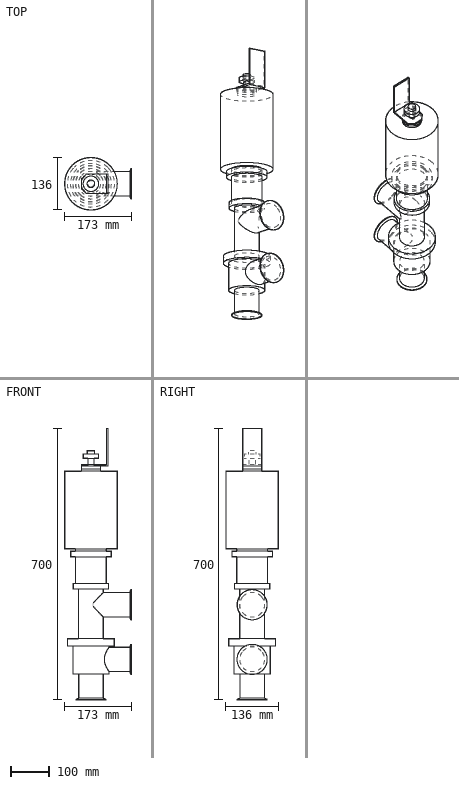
import cadquery as cq

BODY_BOTTOM_Z = 67.0
FLANGE_BOTTOM_Z = 139.0
FLANGE_TOP_Z = 158.0
LOWER_CLAMP_BOTTOM_Z = 286.5
LOWER_CLAMP_TOP_Z = 301.0
UPPER_CLAMP_BOTTOM_Z = 369.0
UPPER_CLAMP_TOP_Z = 384.0
ACTUATOR_BOTTOM_Z = 390.0
ACTUATOR_TOP_Z = 590.0
BOSS_TOP_Z = 596.0
FOOT_TOP_Z = 603.0
TOP_Z = 700.0

PORT_DIAMETER = 64.0
BODY_DIAMETER = 94.0
FLANGE_DIAMETER = 121.0
TUBE_DIAMETER = 64.5
LOWER_CLAMP_DIAMETER = 92.0
NECK_DIAMETER = 80.0
UPPER_CLAMP_DIAMETER = 105.0
ACTUATOR_DIAMETER = 136.0
BOSS_DIAMETER = 50.0

FERRULE_DIAMETER = 78.0
FERRULE_RIM = 2.0
FERRULE_TAPER = 3.0
SIDE_PORT_REACH = 105.0
SIDE_PORT_HEIGHTS = (105.0, 246.0)

BRACKET_WIDTH = BOSS_DIAMETER
BRACKET_THICKNESS = 4.0
BRACKET_LEFT_X = -BRACKET_WIDTH / 2
BRACKET_RIGHT_X = 44.0
BRACKET_CHAMFER = 12.5

FOOT_DIAMETER = BOSS_DIAMETER
STEM_DIAMETER = 16.0
COLLAR_DIAMETER = 40.0
TIP_DIAMETER = 19.5
COLLAR_BOTTOM_Z = 623.0
COLLAR_TOP_Z = 634.5
TIP_TOP_Z = 643.0


def cylinder(diameter, bottom, top):
    """Cylinder on the Z axis between two heights."""
    return cq.Workplane("XY").workplane(offset=bottom).circle(diameter / 2).extrude(top - bottom)


def stack(sections, bottom):
    """One solid of coaxial cylinders, given as (diameter, top height) from the bottom up."""
    solid = None
    for diameter, top in sections:
        section = cylinder(diameter, bottom, top)
        solid = section if solid is None else solid.union(section)
        bottom = top
    return solid


def make_port(length):
    """Port along +Z from its ferrule face at the origin."""
    pipe_radius = PORT_DIAMETER / 2
    rim_radius = FERRULE_DIAMETER / 2
    profile = [
        (0, 0),
        (rim_radius, 0),
        (rim_radius, FERRULE_RIM),
        (pipe_radius, FERRULE_RIM + FERRULE_TAPER),
        (pipe_radius, length),
        (0, length),
    ]
    return cq.Workplane("XZ").polyline(profile).close().revolve(360, (0, 0, 0), (0, 1, 0))


def make_valve():
    """Valve housing, actuator and all three ports."""
    valve = stack(
        [
            (BODY_DIAMETER, FLANGE_BOTTOM_Z),
            (FLANGE_DIAMETER, FLANGE_TOP_Z),
            (TUBE_DIAMETER, LOWER_CLAMP_BOTTOM_Z),
            (LOWER_CLAMP_DIAMETER, LOWER_CLAMP_TOP_Z),
            (NECK_DIAMETER, UPPER_CLAMP_BOTTOM_Z),
            (UPPER_CLAMP_DIAMETER, UPPER_CLAMP_TOP_Z),
            (NECK_DIAMETER, ACTUATOR_BOTTOM_Z),
            (ACTUATOR_DIAMETER, ACTUATOR_TOP_Z),
            (BOSS_DIAMETER, BOSS_TOP_Z),
        ],
        BODY_BOTTOM_Z,
    )
    valve = valve.union(make_port(BODY_BOTTOM_Z))
    side_port = make_port(SIDE_PORT_REACH).rotate((0, 0, 0), (0, 1, 0), -90)
    for height in SIDE_PORT_HEIGHTS:
        valve = valve.union(side_port.translate((SIDE_PORT_REACH, 0, height)))
    return valve


def make_bracket():
    """L-shaped plate on the foot of the stem, with a hole for the stem."""
    profile = [
        (BRACKET_LEFT_X, FOOT_TOP_Z),
        (BRACKET_RIGHT_X, FOOT_TOP_Z),
        (BRACKET_RIGHT_X, TOP_Z),
        (BRACKET_RIGHT_X - BRACKET_THICKNESS, TOP_Z),
        (BRACKET_RIGHT_X - BRACKET_THICKNESS, FOOT_TOP_Z + BRACKET_THICKNESS),
        (BRACKET_LEFT_X, FOOT_TOP_Z + BRACKET_THICKNESS),
    ]
    bracket = cq.Workplane("XZ").polyline(profile).close().extrude(BRACKET_WIDTH / 2, both=True)
    bracket = bracket.edges("|Z and <X").chamfer(BRACKET_CHAMFER)
    return bracket.cut(cylinder(STEM_DIAMETER, FOOT_TOP_Z, TOP_Z))


def make_stem():
    """Stem with a round foot on the actuator boss, passing through the bracket."""
    return stack(
        [
            (FOOT_DIAMETER, FOOT_TOP_Z),
            (STEM_DIAMETER, COLLAR_BOTTOM_Z),
            (COLLAR_DIAMETER, COLLAR_TOP_Z),
            (TIP_DIAMETER, TIP_TOP_Z),
        ],
        BOSS_TOP_Z,
    )


valve = make_valve()
bracket = make_bracket()
stem = make_stem()

result = cq.Compound.makeCompound([valve.val(), bracket.val(), stem.val()])